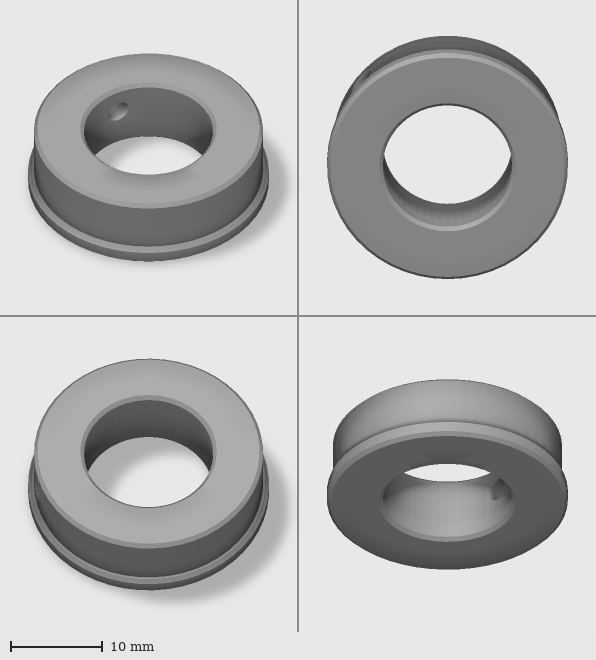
import cadquery as cq

flange_diameter = 26.3
body_diameter = 25.0
bore_diameter = 14.1
total_height = 8.0
flange_height = 2.0
edge_chamfer = 0.4

hole_diameter = 2.5
hole_height = 4.8

flange_radius = flange_diameter / 2
body_radius = body_diameter / 2
bore_radius = bore_diameter / 2


def ring_body():
    """Flanged ring revolved about Z, with every free edge chamfered."""
    profile = [
        (bore_radius + edge_chamfer, 0),
        (flange_radius - edge_chamfer, 0),
        (flange_radius, edge_chamfer),
        (flange_radius, flange_height - edge_chamfer),
        (flange_radius - edge_chamfer, flange_height),
        (body_radius, flange_height),
        (body_radius, total_height - edge_chamfer),
        (body_radius - edge_chamfer, total_height),
        (bore_radius + edge_chamfer, total_height),
        (bore_radius, total_height - edge_chamfer),
        (bore_radius, edge_chamfer),
    ]
    return cq.Workplane("XZ").polyline(profile).close().revolve(360, (0, 0), (0, 1))


def drill_radial_hole(ring):
    """Drill from the -X side into the bore and chamfer the curved outer rim of the hole."""
    drill = (
        cq.Workplane("YZ", origin=(-flange_radius, 0, hole_height))
        .circle(hole_diameter / 2)
        .extrude(flange_radius)
    )
    hole_rim = cq.selectors.BoxSelector(
        (-flange_radius, -hole_diameter, hole_height - hole_diameter / 2),
        (-bore_radius - edge_chamfer, hole_diameter, hole_height + hole_diameter / 2),
    )
    return ring.cut(drill).edges(hole_rim).edges("not %CIRCLE").edges("not %LINE").chamfer(edge_chamfer)


result = drill_radial_hole(ring_body())